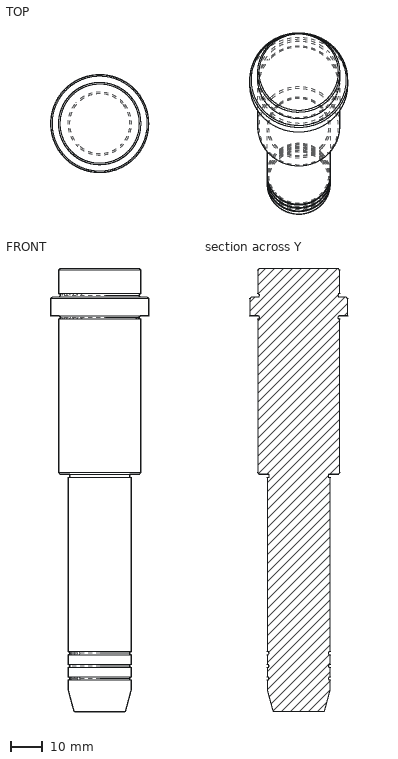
import cadquery as cq
import math

total_length = 140.0
head_height = 9.0
flange_height = 6.0
body_end_depth = 65.0
tip_length = 7.0

flange_radius = 31.0 / 2
body_radius = 26.0 / 2
pin_radius = 20.0 / 2

edge_chamfer = 0.5
tip_angle = 15.0
tip_edge_radius = 0.5
undercut_width = 1.0
undercut_depth = 0.5

groove_radius = 0.5
groove_count = 3
groove_pitch = 4.0
lowest_groove_height = 10.5

flange_top = total_length - head_height
flange_bottom = flange_top - flange_height
body_bottom = total_length - body_end_depth


def revolve_outline(points):
    """Revolve a closed outline of (radius, height) points about Z."""
    return cq.Workplane("XZ").polyline(points).close().revolve(axisStart=(0, 0), axisEnd=(0, 1))


def make_shaft():
    """Stepped shaft with its chamfers, pin undercut and tapered tip."""
    tip_radius = pin_radius - tip_length * math.tan(math.radians(tip_angle))
    undercut_radius = pin_radius - undercut_depth
    undercut_bottom = body_bottom - undercut_width
    shaft = revolve_outline(
        [
            (0, 0),
            (tip_radius, 0),
            (pin_radius, tip_length),
            (pin_radius, undercut_bottom),
            (undercut_radius, undercut_bottom),
            (undercut_radius, body_bottom),
            (body_radius - edge_chamfer, body_bottom),
            (body_radius, body_bottom + edge_chamfer),
            (body_radius, flange_bottom),
            (flange_radius, flange_bottom),
            (flange_radius, flange_top - edge_chamfer),
            (flange_radius - edge_chamfer, flange_top),
            (body_radius, flange_top),
            (body_radius, total_length - edge_chamfer),
            (body_radius - edge_chamfer, total_length),
            (0, total_length),
        ]
    )
    return shaft.faces("<Z").edges().fillet(tip_edge_radius)


def make_round_groove(radius, height):
    """Torus that cuts a half-round groove into a cylinder surface at the given height."""
    return (
        cq.Workplane("XZ")
        .moveTo(-radius, height)
        .circle(groove_radius)
        .revolve(axisStart=(0, 0), axisEnd=(0, 1))
    )


result = make_shaft()

result = result.cut(make_round_groove(body_radius, flange_top + groove_radius))
result = result.cut(make_round_groove(body_radius, flange_bottom - groove_radius))

for index in range(groove_count):
    result = result.cut(make_round_groove(pin_radius, lowest_groove_height + index * groove_pitch))